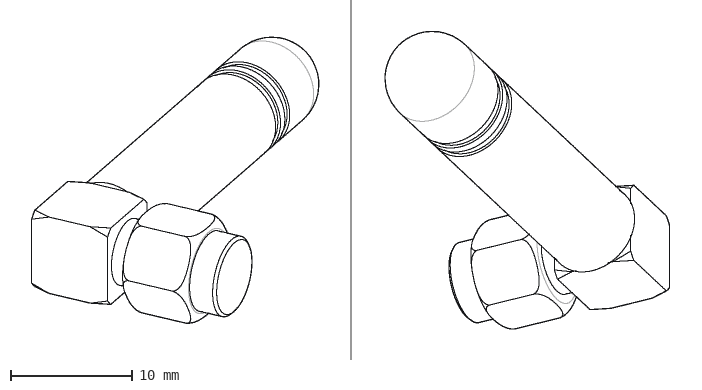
import cadquery as cq
import math

TOTAL_LENGTH = 41.1

NUT_FLATS = 8.0
NUT_LENGTH = 6.0
NUT_ROUNDING = 1.03
nut_corner_radius = NUT_FLATS / math.sqrt(3)

BLOCK_SIZE = 7.07
BLOCK_END_RADIUS = 4.6
BLOCK_TAPER_LENGTH = 1.65
block_half = BLOCK_SIZE / 2
block_corner_radius = block_half * math.sqrt(2)

NECK_DIAMETER = 5.67
NECK_LENGTH = 1.55
SLEEVE_DIAMETER = 6.83
SLEEVE_LENGTH = 2.4
SLEEVE_CHAMFER = 0.25
nut_start = block_half + NECK_LENGTH
nut_end = nut_start + NUT_LENGTH

ROD_DIAMETER = 7.8
GROOVE_DEPTH = 0.25
GROOVE_WIDTH = 0.85
GROOVE_PITCH = 1.65
TIP_TO_FIRST_GROOVE = 8.2
GROOVE_COUNT = 2
rod_radius = ROD_DIAMETER / 2
tip_y = TOTAL_LENGTH - nut_corner_radius
dome_start_y = tip_y - rod_radius


def x_cylinder(diameter, start, length):
    """Round bar along +X from the given start."""
    return cq.Workplane("YZ", origin=(start, 0, 0)).circle(diameter / 2).extrude(length)


def block_envelope():
    """Solid of revolution about X that narrows conically towards both ends of the block."""
    taper_start = block_half - BLOCK_TAPER_LENGTH
    return (
        cq.Workplane("XY")
        .moveTo(-block_half, 0)
        .lineTo(-block_half, BLOCK_END_RADIUS)
        .lineTo(-taper_start, block_corner_radius)
        .lineTo(taper_start, block_corner_radius)
        .lineTo(block_half, BLOCK_END_RADIUS)
        .lineTo(block_half, 0)
        .close()
        .revolve(360, (0, 0, 0), (1, 0, 0))
    )


def make_block():
    return cq.Workplane("XY").box(BLOCK_SIZE, BLOCK_SIZE, BLOCK_SIZE).intersect(block_envelope())


def make_nut():
    """Hexagon with flats facing +Z and -Z and corners rounded off at both ends."""
    hexagon = (
        cq.Workplane("YZ", origin=(nut_start, 0, 0))
        .polygon(6, 2 * nut_corner_radius)
        .extrude(NUT_LENGTH)
    )
    envelope = x_cylinder(2 * nut_corner_radius, nut_start, NUT_LENGTH).faces("<X or >X").edges()
    return hexagon.intersect(envelope.fillet(NUT_ROUNDING))


def make_connector():
    neck = x_cylinder(NECK_DIAMETER, block_half, NECK_LENGTH)
    sleeve = x_cylinder(SLEEVE_DIAMETER, nut_end, SLEEVE_LENGTH).faces(">X").chamfer(SLEEVE_CHAMFER)
    return make_block().union(neck).union(make_nut()).union(sleeve)


def make_groove(start_y):
    """Ring that is cut from the rod, reaching from start_y towards the block."""
    return (
        cq.Workplane("XZ", origin=(0, start_y, 0))
        .circle(rod_radius + GROOVE_DEPTH)
        .circle(rod_radius - GROOVE_DEPTH)
        .extrude(GROOVE_WIDTH)
    )


def make_antenna():
    diagonal = rod_radius * math.sqrt(0.5)
    rod = (
        cq.Workplane("XY")
        .moveTo(0, block_half)
        .lineTo(rod_radius, block_half)
        .lineTo(rod_radius, dome_start_y)
        .threePointArc((diagonal, dome_start_y + diagonal), (0, tip_y))
        .close()
        .revolve(360, (0, 0, 0), (0, 1, 0))
    )
    for index in range(GROOVE_COUNT):
        rod = rod.cut(make_groove(tip_y - TIP_TO_FIRST_GROOVE - index * GROOVE_PITCH))
    return rod


connector = make_connector()
antenna = make_antenna()
result = cq.Compound.makeCompound([connector.val(), antenna.val()])